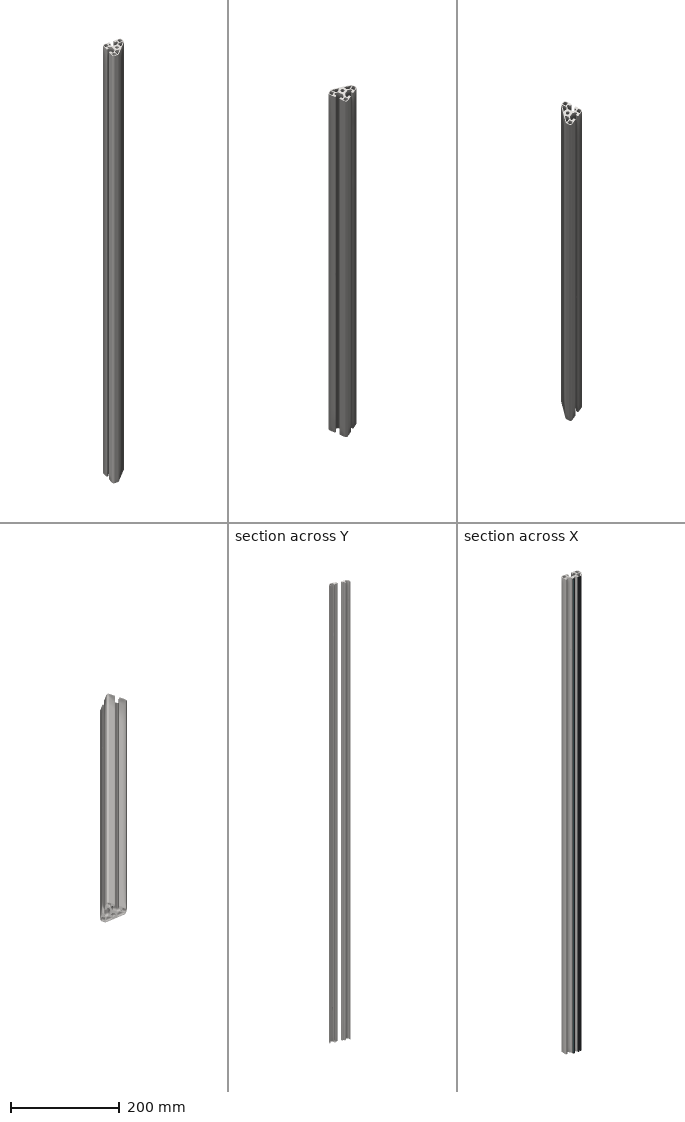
import cadquery as cq
import math


side = 40.0
length = 1000.0
half = side / 2
end_width = 11.6
corner_radius = 4.0

mouth_half = 8.2 / 2
mouth_radius = 1.0
lip_depth = 4.75
lip_radius = 1.75
cavity_half = 9.25
cavity_radius = 1.25
shoulder_depth = 7.75
floor_half = 4.75
floor_radius = 2.25
slot_depth = 12.25

bore_diameter = 6.8

corner_wall = 1.4
chamber_size = 7.2
chamber_outer_radius = 3.1
chamber_inner_radius = 1.0
chamber_chamfer = 1.0

sloped_wall = 1.75
hollow_left = -9.5
hollow_bottom = 8.5
hollow_tip_x = -5.5
hollow_tip_y = 6.25
hollow_end_rise = 1.75


def prism(corners):
    """Full-length prism over a polygon of (x, y, radius) corners; radius 0 leaves a corner sharp."""
    rounded = []
    for i, (x, y, radius) in enumerate(corners):
        corner = cq.Vector(x, y)
        to_last = (cq.Vector(*corners[i - 1][:2]) - corner).normalized()
        to_next = (cq.Vector(*corners[(i + 1) % len(corners)][:2]) - corner).normalized()
        half_angle = to_last.getAngle(to_next) / 2
        setback = radius / math.tan(half_angle)
        bulge = radius / math.sin(half_angle) - radius
        middle = corner + (to_last + to_next).normalized() * bulge
        rounded.append((radius, corner + to_last * setback, middle, corner + to_next * setback))

    outline = cq.Workplane("XY").moveTo(*rounded[0][3].toTuple()[:2])
    for radius, start, middle, end in rounded[1:] + rounded[:1]:
        outline = outline.lineTo(start.x, start.y)
        if radius > 0:
            outline = outline.threePointArc((middle.x, middle.y), (end.x, end.y))
    return outline.close().extrude(length)


def turned(solid, angle):
    return solid.rotate((0, 0, 0), (0, 0, 1), angle)


def mirrored(solid):
    """Mirror image across the plane x = y."""
    return turned(solid.mirror("XZ"), 90)


def body():
    end = end_width - half
    return prism([
        (-half, -half, corner_radius),
        (half, -half, corner_radius),
        (half, end, corner_radius),
        (end, half, corner_radius),
        (-half, half, corner_radius),
    ])


def slot():
    """T-slot opening on the -Y side, with rounded mouth edges."""
    flare = mouth_half + 2 * mouth_radius
    clearance = 1.0
    right = [
        (flare, -half - clearance, 0),
        (flare, -half, 0),
        (mouth_half, -half, mouth_radius),
        (mouth_half, -half + lip_depth, lip_radius),
        (cavity_half, -half + lip_depth, cavity_radius),
        (cavity_half, -half + shoulder_depth, cavity_radius),
        (floor_half, -half + slot_depth, floor_radius),
    ]
    left = [(-x, y, radius) for x, y, radius in reversed(right)]
    return prism(right + left)


def core_bore():
    return cq.Workplane("XY").circle(bore_diameter / 2).extrude(length)


def corner_chamber():
    """Hollow in the (-X, -Y) corner, chamfered towards the core."""
    outer = corner_wall - half
    inner = outer + chamber_size
    return prism([
        (outer, outer, chamber_outer_radius),
        (inner, outer, chamber_inner_radius),
        (inner, inner - chamber_chamfer, chamber_inner_radius),
        (inner - chamber_chamfer, inner, chamber_inner_radius),
        (outer, inner, chamber_inner_radius),
    ])


def sloped_hollow():
    """Hollow between the upper leg, the core and the 45-degree face."""
    inner_face_sum = end_width - sloped_wall * math.sqrt(2)
    end_y = hollow_tip_y + hollow_end_rise
    return prism([
        (hollow_left, inner_face_sum - hollow_left, 0),
        (hollow_left, hollow_bottom, 0),
        (hollow_tip_x, hollow_tip_y, 0),
        (inner_face_sum - end_y, end_y, 0),
    ])


result = body().cut(core_bore())
for angle in (0, -90):
    result = result.cut(turned(slot(), angle))
for angle in (0, 90, -90):
    result = result.cut(turned(corner_chamber(), angle))
for hollow in (sloped_hollow(), mirrored(sloped_hollow())):
    result = result.cut(hollow)